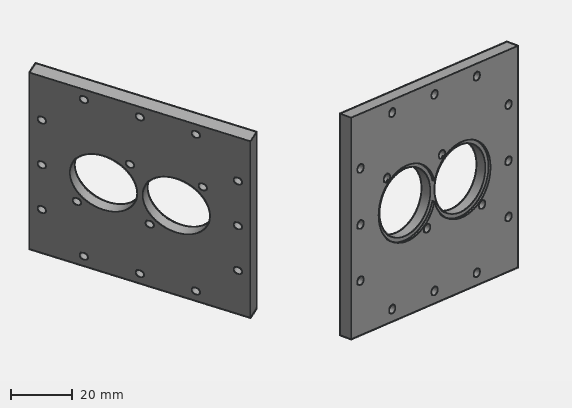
import cadquery as cq

plate_side = 79.0
plate_thickness = 5.0

screw_diameter = 3.0
edge_row_offset = 35.0
edge_hole_pitch = 20.0

opening_diameter = 24.0
opening_pitch = 26.0
opening_height = 0.5

recess_diameter = 27.0
recess_depth = 0.95

flange_offset_x = 9.5
flange_offset_z = 12.0


def cut_round_holes(body, centers, diameter, depth):
    """Sink a round hole from the +Y face at each (x, z) center."""
    back_face = cq.Workplane("XZ", origin=(0, plate_thickness / 2, 0))
    for x, z in centers:
        body = body.cut(back_face.center(x, z).circle(diameter / 2).extrude(depth))
    return body


edge_centers = []
for side in (-1, 1):
    for step in (-1, 0, 1):
        across = side * edge_row_offset
        along = step * edge_hole_pitch
        edge_centers.append((across, along))
        edge_centers.append((along, across))

opening_centers = [(side * opening_pitch / 2, opening_height) for side in (-1, 1)]

flange_centers = [
    (x + end * flange_offset_x, z + end * flange_offset_z)
    for x, z in opening_centers
    for end in (-1, 1)
]

plate = cq.Workplane("XY").box(plate_side, plate_thickness, plate_side)
plate = cut_round_holes(plate, opening_centers, opening_diameter, plate_thickness)
plate = cut_round_holes(plate, opening_centers, recess_diameter, recess_depth)
result = cut_round_holes(plate, edge_centers + flange_centers, screw_diameter, plate_thickness)